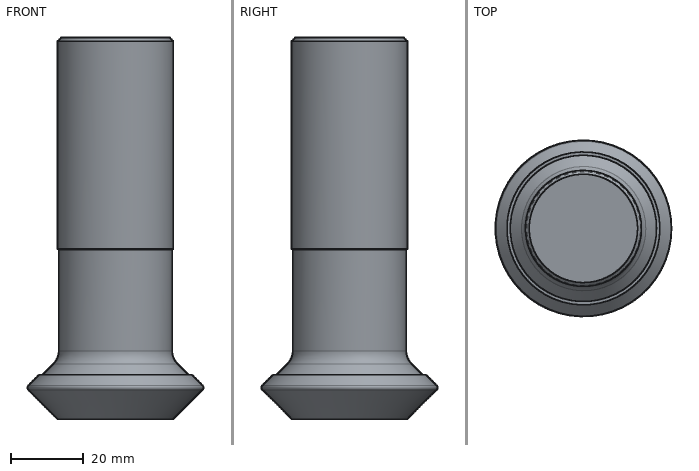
import cadquery as cq
import math

total_height = 104.8

bevel_angle = math.radians(45)
disc_radius = 24.2
disc_height = 12.3
rim_round = 0.8
rim_height = 8.7
rim_half_height = rim_round * math.sin(bevel_angle)
rim_edge_radius = disc_radius - rim_round * (1 - math.cos(bevel_angle))
rim_bottom = rim_height - rim_half_height
rim_top = rim_height + rim_half_height
disc_top_radius = rim_edge_radius - (disc_height - rim_top) / math.tan(bevel_angle)
disc_bottom_radius = rim_edge_radius - rim_bottom / math.tan(bevel_angle)

shank_radius = 15.9
neck_radius = 15.6
shoulder_height = 46.5
end_chamfer = 1.0
shoulder_chamfer = 0.3
flare_fillet = 4.9
fillet_top = 18.8

flare_angle = math.radians(45)
half_angle = flare_angle / 2
fillet_bottom = fillet_top - flare_fillet * math.sin(flare_angle)
fillet_foot_radius = neck_radius + flare_fillet * (1 - math.cos(flare_angle))
fillet_mid_radius = neck_radius + flare_fillet * (1 - math.cos(half_angle))
fillet_mid_height = fillet_top - flare_fillet * math.sin(half_angle)
foot_radius = fillet_foot_radius + (fillet_bottom - disc_height) * math.tan(flare_angle)


def revolve_about_z(profile):
    """Turn a closed (radius, height) profile into a solid around Z."""
    return profile.revolve(360, (0, 0, 0), (0, 1, 0))


def make_disc():
    profile = (
        cq.Workplane("XZ")
        .lineTo(disc_bottom_radius, 0)
        .lineTo(rim_edge_radius, rim_bottom)
        .threePointArc((disc_radius, rim_height), (rim_edge_radius, rim_top))
        .lineTo(disc_top_radius, disc_height)
        .lineTo(0, disc_height)
        .close()
    )
    return revolve_about_z(profile)


def make_shank():
    profile = (
        cq.Workplane("XZ")
        .moveTo(0, disc_height)
        .lineTo(foot_radius, disc_height)
        .lineTo(fillet_foot_radius, fillet_bottom)
        .threePointArc((fillet_mid_radius, fillet_mid_height), (neck_radius, fillet_top))
        .lineTo(neck_radius, shoulder_height)
        .lineTo(shank_radius, shoulder_height + shoulder_chamfer)
        .lineTo(shank_radius, total_height - end_chamfer)
        .lineTo(shank_radius - end_chamfer, total_height)
        .lineTo(0, total_height)
        .close()
    )
    return revolve_about_z(profile)


disc = make_disc()
shank = make_shank()

result = cq.Compound.makeCompound([disc.val(), shank.val()])